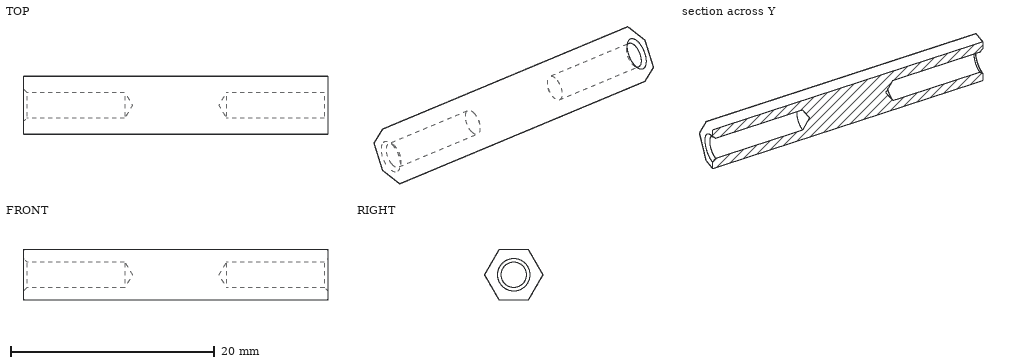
import cadquery as cq
import math

length = 30.0
side_count = 6
across_flats = 5.0
edge_radius = 0.1

bore_diameter = 2.5
bore_depth = 10.0
drill_point_angle = 118.0
countersink_diameter = 3.2
countersink_angle = 90.0

across_corners = across_flats / math.cos(math.pi / side_count)
bore_radius = bore_diameter / 2
countersink_radius = countersink_diameter / 2
countersink_depth = (countersink_radius - bore_radius) / math.tan(math.radians(countersink_angle / 2))
drill_point_depth = bore_radius / math.tan(math.radians(drill_point_angle / 2))


def hex_bar():
    """Hexagonal bar centred on the origin, corners on the Y axis, all edges rounded."""
    bar = cq.Workplane("YZ").polygon(side_count, across_corners).extrude(length / 2, both=True)
    return bar.edges().fillet(edge_radius)


def blind_bore():
    """Countersunk drilled hole entering at the -X end face."""
    entry = -length / 2
    half_section = [
        (entry, 0),
        (entry, countersink_radius),
        (entry + countersink_depth, bore_radius),
        (entry + bore_depth, bore_radius),
        (entry + bore_depth + drill_point_depth, 0),
    ]
    return cq.Workplane("XY").polyline(half_section).close().revolve(360, (0, 0, 0), (1, 0, 0))


bore = blind_bore()
result = hex_bar().cut(bore).cut(bore.mirror("YZ"))